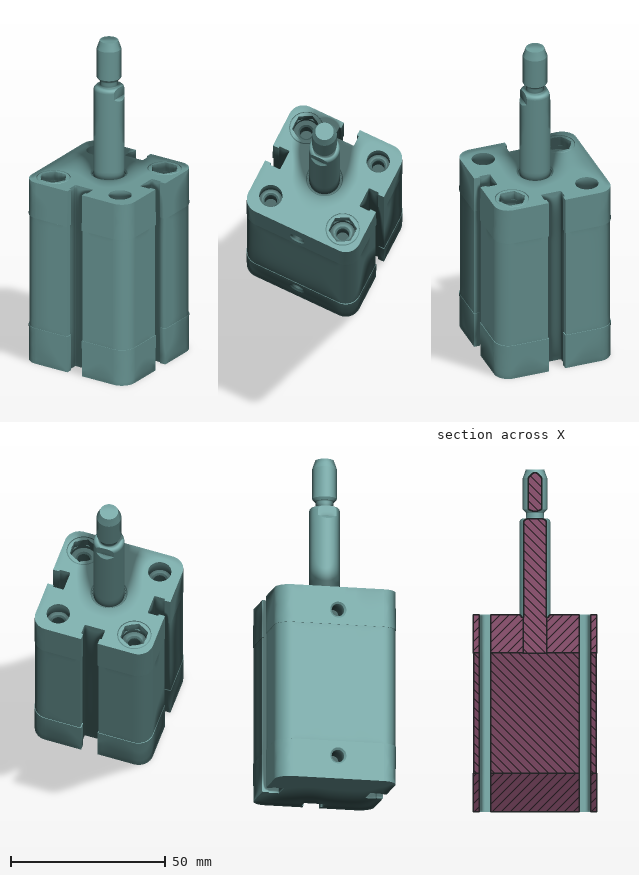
import cadquery as cq
import math

total_height = 111.0
housing_height = 64.0
cap_height = 12.5
tube_height = housing_height - 2 * cap_height

tube_side = 40.0
cap_side = 40.3
cap_draft = 0.1
corner_radius = 5.0

slot_depth = 5.7
slot_inner_width = 7.0
slot_inner_fillet = 0.3
slot_lip = 2.0
cap_slot_mouth = 5.7
tube_slot_mouth = 6.2
slot_angles = (0, 90, 270)

thread_bore = 4.1
thread_mouth = 5.2
port_mouth = 5.4

port_inset = 7.7
port_depth = 8.9

hole_offset = 13.0
hole_depth = 4.4
thread_length = 4.4
plain_diameter = 7.5
plain_corners = ((-1, 1), (1, -1))
socket_corners = ((-1, -1), (1, 1))
socket_flats = 8.0
socket_hex_depth = 3.1
socket_bore = 8.2
head_hole_diameter = 11.1
head_top_diameter = 10.4

rod_diameter = 10.0
rod_seat_diameter = 12.0
rod_seat_floor = 11.4
rod_seat_depth = 0.3
wiper_diameter = 10.9
wiper_depth = 0.9
shoulder_top = 95.1
shoulder_fillet = 1.2
neck_diameter = 5.8
neck_top = 97.2
neck_fillet = 0.3
stud_diameter = 8.0
stud_chamfer_height = 0.9
tip_diameter = 6.0
tip_height = 2.8
flat_width = 8.0
flat_bottom = 91.7


def rounded_square(side):
    """Sketch of a square with rounded corners, centred on the Z axis."""
    return cq.Sketch().rect(side, side).vertices().fillet(corner_radius)


def cut_slots(body, mouth_width):
    """Cut the lengthwise undercut slots through the whole body."""
    floor_x = tube_side / 2 - slot_depth
    lip_x = tube_side / 2 - slot_lip
    mouth = cq.Workplane().box(
        slot_depth + slot_lip, mouth_width, 2 * housing_height, centered=(False, True, True))
    undercut = cq.Workplane().box(
        lip_x - floor_x, slot_inner_width, 2 * housing_height, centered=(False, True, True))
    undercut = undercut.edges("|Z").fillet(slot_inner_fillet)
    cutter = mouth.union(undercut).translate((floor_x, 0, 0))
    for angle in slot_angles:
        body = body.cut(cutter.rotate((0, 0, 0), (0, 0, 1), angle))
    return body


def revolved(profile):
    """Turn a (radius, height) outline about the Z axis."""
    return cq.Workplane("XZ").polyline(profile).close().revolve(360, (0, 0), (0, 1))


def threaded_hole(depth, mouth_diameter):
    """Cutter for a countersunk hole going down from the origin."""
    mouth_radius = mouth_diameter / 2
    bore_radius = thread_bore / 2
    sink = mouth_radius - bore_radius
    return revolved([(0, 0), (mouth_radius, 0), (bore_radius, -sink), (bore_radius, -depth), (0, -depth)])


def blank_cap():
    """Cap with slots and side port, its wide end at Z = 0 and its free end up."""
    draft_angle = math.degrees(math.atan2(cap_draft, cap_height))
    cap = cq.Workplane().placeSketch(rounded_square(cap_side)).extrude(cap_height, taper=draft_angle)
    cap = cut_slots(cap, cap_slot_mouth)
    port = threaded_hole(port_depth, port_mouth).rotate((0, 0, 0), (0, 1, 0), -90)
    return cap.cut(port.translate((-cap_side / 2, 0, cap_height - port_inset)))


def plain_hole():
    """Cutter for a counterbored corner hole with a threaded hole in its floor."""
    counterbore = cq.Workplane().circle(plain_diameter / 2).extrude(-hole_depth)
    thread = threaded_hole(thread_length, thread_mouth).translate((0, 0, -hole_depth))
    return counterbore.union(thread)


def socket_head():
    """Cutter for a hollow socket head: chamfered rim, hexagon, bore and threaded hole."""
    hole_radius = head_hole_diameter / 2
    top_radius = head_top_diameter / 2
    rim_groove = revolved([(top_radius, 0), (hole_radius, 0), (hole_radius, top_radius - hole_radius)])
    across_corners = socket_flats / math.cos(math.radians(30))
    hexagon = cq.Workplane().polygon(6, across_corners).extrude(-socket_hex_depth)
    bore = cq.Workplane().circle(socket_bore / 2).extrude(-hole_depth)
    thread = threaded_hole(thread_length, thread_mouth).translate((0, 0, -hole_depth))
    return rim_groove, hexagon.union(bore).union(thread)


def at_corner(cutter, corner):
    """Move a cutter from the origin to a fixing hole position on the top face."""
    side_x, side_y = corner
    return cutter.translate((side_x * hole_offset, side_y * hole_offset, housing_height))


def make_top_cap():
    """Rod-end cap with the corner holes, heads and rod bore."""
    cap = blank_cap().translate((0, 0, housing_height - cap_height))
    for corner in plain_corners:
        cap = cap.cut(at_corner(plain_hole(), corner))
    for corner in socket_corners:
        for cutter in socket_head():
            cap = cap.cut(at_corner(cutter, corner))
    rod_hole = revolved([
        (0, 0),
        (rod_seat_diameter / 2, 0),
        (rod_seat_floor / 2, -rod_seat_depth),
        (wiper_diameter / 2, -rod_seat_depth),
        (wiper_diameter / 2, -wiper_depth),
        (rod_diameter / 2, -wiper_depth),
        (rod_diameter / 2, -cap_height),
        (0, -cap_height),
    ])
    return cap.cut(rod_hole.translate((0, 0, housing_height)))


def make_bottom_cap():
    """Closed cap, the plain mirror image of the rod-end cap."""
    return blank_cap().mirror("XY").translate((0, 0, cap_height))


def make_tube():
    """Slotted middle section between the caps."""
    tube = cq.Workplane().placeSketch(rounded_square(tube_side)).extrude(tube_height)
    return cut_slots(tube, tube_slot_mouth).translate((0, 0, cap_height))


def make_rod():
    """Rod with rounded shoulder, necked stud and two wrench flats, standing on the tube."""
    rod_bottom = housing_height - cap_height
    rod_radius = rod_diameter / 2
    neck_radius = neck_diameter / 2
    stud_radius = stud_diameter / 2
    neck_end_radius = neck_radius + neck_fillet
    rod = (
        cq.Workplane("XZ")
        .moveTo(0, rod_bottom)
        .lineTo(rod_radius, rod_bottom)
        .lineTo(rod_radius, shoulder_top - shoulder_fillet)
        .radiusArc((rod_radius - shoulder_fillet, shoulder_top), -shoulder_fillet)
        .lineTo(neck_end_radius, shoulder_top)
        .radiusArc((neck_radius, shoulder_top + neck_fillet), neck_fillet)
        .lineTo(neck_radius, neck_top - neck_fillet)
        .radiusArc((neck_end_radius, neck_top), neck_fillet)
        .lineTo(stud_radius, neck_top + stud_chamfer_height)
        .lineTo(stud_radius, total_height - tip_height)
        .lineTo(tip_diameter / 2, total_height)
        .lineTo(0, total_height)
        .close()
        .revolve(360, (0, 0), (0, 1))
    )
    flat_x = flat_width / 2
    ramp = rod_diameter - flat_x
    for side in (-1, 1):
        flat = (
            cq.Workplane("XZ")
            .moveTo(side * flat_x, flat_bottom)
            .lineTo(side * flat_x, shoulder_top)
            .lineTo(side * rod_diameter, shoulder_top)
            .lineTo(side * rod_diameter, flat_bottom - ramp)
            .close()
            .extrude(rod_diameter, both=True)
        )
        rod = rod.cut(flat)
    return rod


top_cap = make_top_cap()
tube = make_tube()
bottom_cap = make_bottom_cap()
rod = make_rod()

result = cq.Compound.makeCompound([top_cap.val(), tube.val(), bottom_cap.val(), rod.val()])